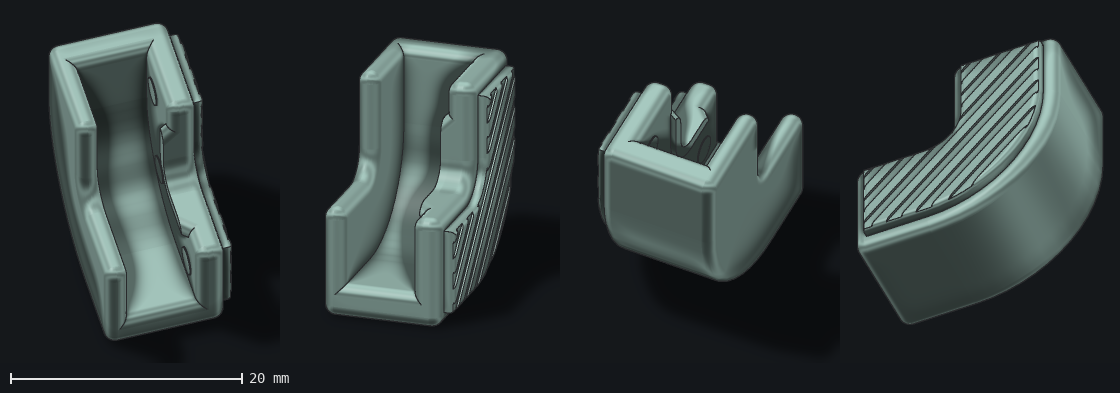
import cadquery as cq
import math

length = 19.2
leg_width = 10.0
inner_bend_radius = 2.19
bend_center = leg_width + inner_bend_radius
shell_depth = 10.7
edge_radius = 1.0

outer_wall = 3.0
front_wall = 2 * edge_radius
back_wall = 2.5
back_wall_face = shell_depth - back_wall
crest_flat = 0.002
rim_radius = front_wall - edge_radius - crest_flat

lip_width = edge_radius
lip_height = 0.5
lip_end_gap = 3.0
lip_root_depth = 1.25

plate_thickness = 1.0
plate_inset = 1.23
plate_edge_radius = 0.5
groove_width = 1.0
groove_pitch = 2 * groove_width
groove_depth = 0.2
grooves_toward_bend = 3
grooves_toward_inside = 2

pin_diameter = 2.5
pin_end_distance = 3.5
pin_protrusion = 0.1


def arc_middle(radius):
    """Coordinate, equal in X and Z, of the middle of an arc about the bend center."""
    return bend_center - radius * math.sqrt(0.5)


def elbow_prism(outer_side, inner_side, leg_end, y_start, y_end):
    """Elbow-shaped prism, given by its outer and inner sides and leg ends, the same in X and Z."""
    outer_middle = arc_middle(bend_center - outer_side)
    inner_middle = arc_middle(bend_center - inner_side)
    return (
        cq.Workplane("XZ", origin=(0, y_start, 0))
        .moveTo(outer_side, leg_end)
        .lineTo(outer_side, bend_center)
        .threePointArc((outer_middle, outer_middle), (bend_center, outer_side))
        .lineTo(leg_end, outer_side)
        .lineTo(leg_end, inner_side)
        .lineTo(bend_center, inner_side)
        .threePointArc((inner_middle, inner_middle), (inner_side, bend_center))
        .lineTo(inner_side, leg_end)
        .close()
        .extrude(y_start - y_end)
    )


def pin_cylinders():
    """Three pins on the middle line of the elbow: one near each leg end and one in the bend."""
    leg_middle = leg_width / 2
    bend_middle = arc_middle(bend_center - leg_middle)
    pin_end = length - pin_end_distance
    return (
        cq.Workplane("XZ", origin=(0, shell_depth, 0))
        .pushPoints([(leg_middle, pin_end), (bend_middle, bend_middle), (pin_end, leg_middle)])
        .circle(pin_diameter / 2)
        .extrude(back_wall + pin_protrusion)
    )


def make_block():
    """Solid elbow with all its outer edges rounded."""
    block = elbow_prism(0, leg_width, length, 0, shell_depth)
    for leg_end in (">X", ">Z"):
        block = block.faces(leg_end).edges("|Y").fillet(edge_radius)
    return block.faces("<Y or >Y").edges().fillet(edge_radius)


def is_rim(edge):
    """True for the edges around the channel opening."""
    center = edge.Center()
    near, far = sorted((center.x, center.z))
    tolerance = 0.02
    within_channel = front_wall - tolerance < center.y < back_wall_face + tolerance
    on_wall_crest = near > leg_width - edge_radius - tolerance
    on_channel_end = near > outer_wall - tolerance and far > length - tolerance
    return within_channel and (on_wall_crest or on_channel_end)


def make_lip():
    """Lip strip whose ramps are rounded where they meet the inside of the elbow."""
    lip_face = back_wall_face - lip_height
    lip_root = back_wall_face + lip_root_depth
    ramp_size = lip_height + edge_radius
    ramp_top = length - lip_end_gap - lip_height
    strip_end = ramp_top + ramp_size
    strip = elbow_prism(leg_width - lip_width, leg_width, strip_end, lip_face, lip_root)
    for leg_end in (">X", ">Z"):
        strip = strip.faces(leg_end).edges("<Y").chamfer(ramp_size)

    middle = ramp_top + ramp_size / 2
    ramp_middle_y = lip_face + ramp_size / 2
    for point in ((middle, ramp_middle_y, leg_width), (leg_width, ramp_middle_y, middle)):
        strip = strip.edges(cq.NearestToPointSelector(point)).fillet(rim_radius)
    return strip


def make_shell():
    open_side = leg_width + inner_bend_radius / 2
    channel = elbow_prism(outer_wall, open_side, 2 * length, front_wall, back_wall_face)
    shell = make_block().cut(channel)
    rim = [edge for edge in shell.edges().vals() if is_rim(edge)]
    shell = shell.newObject(rim).fillet(rim_radius)
    return shell.union(make_lip()).cut(pin_cylinders())


def make_groove(position):
    """Cutter for one groove, at a distance from the line through the outer corners of the leg ends."""
    return (
        cq.Workplane("XY")
        .box(groove_width, 2 * groove_depth, 2 * length)
        .translate((position, 0, 0))
        .rotate((0, 0, 0), (0, 1, 0), -45)
        .translate((length / 2, shell_depth + plate_thickness, length / 2))
    )


def make_grip_plate():
    plate_end = length - plate_inset
    plate_back = shell_depth + plate_thickness
    plate = elbow_prism(plate_inset, leg_width - plate_inset, plate_end, shell_depth, plate_back)
    plate = plate.faces(">Y").edges().fillet(plate_edge_radius)
    for number in range(-grooves_toward_bend, grooves_toward_inside + 1):
        plate = plate.cut(make_groove(number * groove_pitch))
    return plate.union(pin_cylinders())


shell = make_shell()
grip_plate = make_grip_plate()
result = cq.Compound.makeCompound([shell.solids().val(), grip_plate.solids().val()])